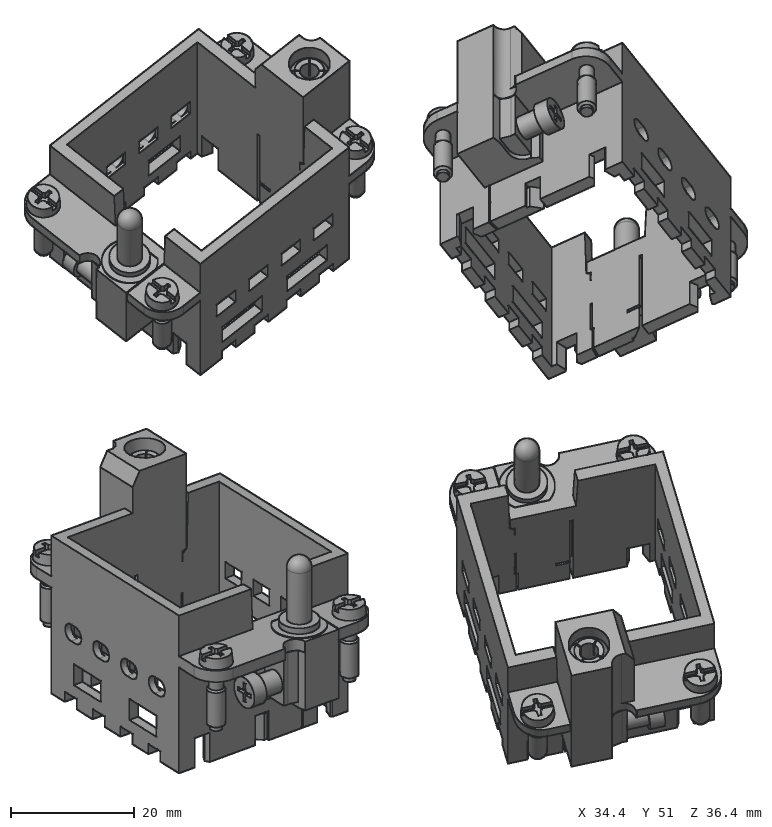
import cadquery as cq
import math

frame_x = 34.4
frame_y = 33.95
frame_height = 29.05
inner_x = 30.8
inner_y = 29.8
end_wall = (frame_y - inner_y) / 2
half_x = frame_x / 2
half_y = frame_y / 2

flange_y = 50.8
flange_bottom = 19.5
flange_top = 21.55
flange_corner = 4.5
edge_notch_radius = 2.0

total_y = 51.0
half_total_y = total_y / 2
block_bottom = 8.85
block_left = -2.2
block_right = 8.75
block_step_x = -0.95
block_root_y = 18.0
recess_depth = 1.9
undercut_height = 1.0
undercut_radius = 2.65
terminal_y = 21.3
terminal_z = 13.45

total_height = 36.4
tower_chamfer_x = 1.45
tower_chamfer_z = 2.55
contact_x = 4.6
contact_y = 20.5

gap_top_width = 0.35
gap_low_width = 0.1
gap_width = 0.15
gap_bottom = 19.0
jog_left = 7.95
jog_right = 8.05
jog_top = 18.6
jog_bottom = 16.85

screw_x = 13.55
screw_y = 22.1


def box(x0, x1, y0, y1, z0, z1):
    return cq.Workplane("XY").box(x1 - x0, y1 - y0, z1 - z0, centered=False).translate((x0, y0, z0))


def prism(points, z0, z1):
    return cq.Workplane("XY").workplane(offset=z0).polyline(points).close().extrude(z1 - z0)


def cylinder(x, y, radius, z0, z1):
    return cq.Workplane("XY").workplane(offset=z0).center(x, y).circle(radius).extrude(z1 - z0)


def revolved(profile):
    """Solid of revolution about Z from (radius, height) points that start and end on the axis."""
    return cq.Workplane("XZ").polyline(profile).close().revolve(360, (0, 0, 0), (0, 1, 0))


def on_both_ends(solid):
    return solid.union(solid.mirror("XZ"))


def make_frame():
    frame = box(-half_x, half_x, -half_y, half_y, 0, frame_height)
    flange = box(-half_x, half_x, -flange_y / 2, flange_y / 2, flange_bottom, flange_top)
    frame = frame.union(flange.edges("|Z").fillet(flange_corner))
    return frame.cut(box(-inner_x / 2, inner_x / 2, -inner_y / 2, inner_y / 2, 0, frame_height))


def make_block():
    """Contact block at the -Y end, from the inner wall face out to the flange edge."""
    root_slope = 0.55
    cheek_x = edge_notch_radius
    cheek_foot_x = 1.7
    bend_x = -0.1
    lip = 0.35
    lip_y = -half_total_y + recess_depth
    outline = [
        (block_left, -inner_y / 2),
        (block_left, -block_root_y),
        (block_step_x, -block_root_y - root_slope),
        (block_step_x, lip_y),
        (bend_x, lip_y),
        (cheek_foot_x, lip_y - lip),
        (cheek_x, -half_total_y),
        (block_right, -half_total_y),
        (block_right, -inner_y / 2),
    ]
    block = prism(outline, block_bottom, flange_bottom)
    undercut_top = block_bottom + undercut_height
    undercut = cylinder(block_step_x, -terminal_y, undercut_radius, block_bottom, undercut_top)
    undercut = undercut.union(
        box(block_step_x, cheek_foot_x, -half_total_y, -terminal_y, block_bottom, undercut_top)
    )
    plate = box(edge_notch_radius, block_right, -half_total_y, -inner_y / 2, flange_bottom, flange_top)
    return block.cut(undercut).union(plate)


def make_terminal_screw():
    """Horizontal earth screw on the left of the -Y block, with a cross recess in its head."""
    head_radius = 2.7
    shaft_radius = 2.0
    shaft_embed = 0.5
    head_left = -7.25
    head_right = -4.75
    cross_length = 3.35
    cross_width = 0.6
    cross_depth = 0.75
    plane = cq.Workplane("YZ", origin=(head_left, -terminal_y, terminal_z))
    head = plane.circle(head_radius).extrude(head_right - head_left)
    shaft = plane.circle(shaft_radius).extrude(block_step_x - head_left + shaft_embed)
    cross = plane.rect(cross_length, cross_width).extrude(cross_depth)
    cross = cross.union(plane.rect(cross_width, cross_length).extrude(cross_depth))
    return head.union(shaft).cut(cross)


def make_tower():
    """Socket tower at the +Y end, with a sloped upper left edge and a stepped-back rear left corner."""
    chamfer_start = total_height - tower_chamfer_z
    profile = [
        (block_left, flange_bottom),
        (block_left, chamfer_start),
        (block_left + tower_chamfer_x, total_height),
        (block_right, total_height),
        (block_right, flange_bottom),
    ]
    tower = cq.Workplane("XZ", origin=(0, half_total_y, 0)).polyline(profile).close()
    tower = tower.extrude(half_total_y - inner_y / 2)
    back_step_y = half_total_y - edge_notch_radius
    return tower.cut(box(block_left, 0, back_step_y, half_total_y, flange_top, total_height))


def socket_pocket():
    """Ring-shaped void around a slit contact sleeve that has a bevelled top and a drilled bore."""
    hole_radius = 3.3
    hole_depth = 10.2
    sleeve_radius = 3.15
    sleeve_depth = 1.75
    shoulder_height = 0.75
    mouth_radius = 2.4
    bore_radius = 1.55
    mouth_depth = 0.2
    bore_depth = 6.1
    bore_tip_angle = math.radians(118)
    slit_width = 0.2
    sleeve_top = -sleeve_depth
    hole = cylinder(0, 0, hole_radius, -hole_depth, 0)
    sleeve = revolved([
        (0, -hole_depth),
        (sleeve_radius, -hole_depth),
        (sleeve_radius, sleeve_top - shoulder_height),
        (mouth_radius, sleeve_top),
        (0, sleeve_top),
    ])
    bore = revolved([
        (0, sleeve_top),
        (mouth_radius, sleeve_top),
        (bore_radius, sleeve_top - mouth_depth),
        (bore_radius, sleeve_top - bore_depth),
        (0, sleeve_top - bore_depth - bore_radius / math.tan(bore_tip_angle / 2)),
    ])
    sleeve = sleeve.cut(bore)
    for angle in (45, 135):
        slit = box(-hole_radius, hole_radius, -slit_width / 2, slit_width / 2, -hole_depth / 2, sleeve_top)
        sleeve = sleeve.cut(slit.rotate((0, 0, 0), (0, 0, 1), angle))
    return hole.cut(sleeve).translate((contact_x, contact_y, total_height))


def make_pin():
    """Guide pin with a domed tip, standing on a collar and a thin seat."""
    pin_radius = 2.05
    pin_top = 34.3
    collar_radius = 3.3
    collar_top = 22.8
    seat_radius = 4.55
    seat_height = 0.15
    pin = cylinder(contact_x, -contact_y, pin_radius, flange_bottom, pin_top - pin_radius)
    dome = cq.Workplane("XY").sphere(pin_radius).translate((contact_x, -contact_y, pin_top - pin_radius))
    collar = cylinder(contact_x, -contact_y, collar_radius, flange_bottom, collar_top)
    seat = cylinder(contact_x, -contact_y, seat_radius, flange_top, flange_top + seat_height)
    seat = seat.intersect(
        box(0, block_right, -half_total_y, -half_y, flange_bottom, total_height)
    )
    return pin.union(dome).union(collar).union(seat)


def make_screw():
    """Flange screw on the Z axis: slotted tapered head, neck, thicker thread and a pilot tip."""
    head_base_radius = 2.75
    head_top_radius = 2.55
    head_height = 1.95
    head_top = flange_top + head_height
    neck_radius = 1.2
    neck_bottom = 16.95
    thread_radius = 1.55
    thread_bottom = 10.3
    bevel = thread_radius - neck_radius
    tip_radius = 1.0
    tip_bottom = 9.35
    slot_width = 0.85
    slot_depth = 0.85
    cross_length = 3.2
    cross_width = 0.6
    cross_depth = 1.3
    cross_core_radius = 0.8
    screw = revolved([
        (0, head_top),
        (head_top_radius, head_top),
        (head_base_radius, flange_top),
        (neck_radius, flange_top),
        (neck_radius, neck_bottom),
        (thread_radius, neck_bottom - bevel),
        (thread_radius, thread_bottom),
        (tip_radius, thread_bottom - bevel),
        (tip_radius, tip_bottom),
        (0, tip_bottom),
    ])
    top = cq.Workplane("XY").workplane(offset=head_top)
    screw = screw.cut(top.rect(2 * head_base_radius, slot_width).extrude(-slot_depth))
    screw = screw.cut(top.rect(cross_width, cross_length).extrude(-cross_depth))
    return screw.cut(top.circle(cross_core_radius).extrude(-cross_depth))


def gap_beside_block():
    """Narrow gap right of the -Y block: tapered in the wall, parallel through the flange.

    At its foot the wall gap jogs towards the block and runs on as a thin slit.
    """
    jog_drop = 0.3
    wall_gap = (
        cq.Workplane("XZ", origin=(0, -inner_y / 2, 0))
        .polyline([
            (jog_left, jog_bottom),
            (jog_left, jog_top),
            (block_right, gap_bottom),
            (block_right, frame_height),
            (block_right + gap_top_width, frame_height),
            (block_right + gap_low_width, gap_bottom),
            (jog_right, jog_top - jog_drop),
            (jog_right, jog_bottom),
        ])
        .close()
        .extrude(end_wall)
    )
    flange_gap = box(
        block_right, block_right + gap_width, -half_total_y, -half_y, gap_bottom, flange_top
    )
    return wall_gap.union(flange_gap)


def opening_above_block():
    """Opening in the -Y wall above the flange, with a slightly sloped left side."""
    slope = 0.3
    profile = [
        (block_left, flange_top),
        (block_left - slope, frame_height),
        (block_right, frame_height),
        (block_right, flange_top),
    ]
    opening = cq.Workplane("XZ", origin=(0, -inner_y / 2, 0)).polyline(profile).close()
    return opening.extrude(end_wall)


def end_wall_notches():
    """Notches at the foot of the -Y wall, and the slit and groove that belong to them."""
    notch_height = 5.4
    ledge_height = 4.85
    outer, inner = -half_y, -inner_y / 2

    far_x, near_x = 14.0, 10.95
    far_throat_x, near_throat_x = 13.75, 11.4
    far_inner_x, near_inner_x = 14.45, 10.65
    far_bevel_depth, near_bevel_depth = 0.25, 0.75
    corner = prism(
        [
            (far_x, outer),
            (far_throat_x, outer + far_bevel_depth),
            (far_inner_x, inner),
            (near_inner_x, inner),
            (near_throat_x, outer + near_bevel_depth),
            (near_x, outer),
        ],
        0,
        notch_height,
    )

    left_x, right_x = -1.7, 1.1
    step_x, step_depth = 0.55, 0.5
    throat_x = -1.15
    middle = prism(
        [
            (left_x, outer),
            (right_x, outer),
            (right_x, outer + step_depth),
            (step_x, outer + step_depth),
            (throat_x, inner),
            (left_x, inner),
        ],
        0,
        ledge_height,
    )
    middle = middle.union(box(left_x, right_x, outer, inner, ledge_height, notch_height))

    groove_top, groove_depth = 17.35, 0.75
    groove = box(left_x, throat_x, inner - groove_depth, inner, notch_height, groove_top)

    slit_left, slit_right, slit_top = 7.75, 8.05, 10.95
    slit_width = slit_right - slit_left
    slit = box(slit_left, slit_right, outer, inner, ledge_height, slit_top)
    slit_foot = [
        (slit_left, outer),
        (slit_right, outer),
        (slit_left, inner),
        (slit_left - slit_width, inner),
    ]
    slit = slit.union(prism(slit_foot, 0, ledge_height))

    return corner.union(corner.mirror("YZ")).union(middle).union(groove).union(slit)


def side_wall_openings():
    """Openings through both long walls: oval row, windows and foot notches."""
    pitch = 7.4
    rows = [factor * pitch for factor in (-1.5, -0.5, 0.5, 1.5)]
    oval_length, oval_height, oval_z = 4.3, 3.0, 13.45
    left_window_length, right_window_length = 7.15, 9.1
    window_bottom, window_top = 4.15, 8.0
    foot_length, foot_height, foot_offset = 3.15, 1.9, 0.65
    left_oval_depth = 1.3

    tool = cq.Workplane("XY")
    for y in rows:
        plane = cq.Workplane("YZ", origin=(-half_x, y, oval_z))
        tool = tool.union(plane.slot2D(oval_length, oval_height).extrude(left_oval_depth))
        tool = tool.union(
            plane.workplane(offset=left_oval_depth).rect(oval_length, oval_height).extrude(frame_x)
        )
        foot_y = y + foot_offset
        tool = tool.union(
            box(-half_x, half_x, foot_y - foot_length / 2, foot_y + foot_length / 2, 0, foot_height)
        )
    for y in (-pitch, pitch):
        for x, length in ((-half_x, left_window_length), (0, right_window_length)):
            tool = tool.union(
                box(x, x + half_x, y - length / 2, y + length / 2, window_bottom, window_top)
            )
    return tool


body = make_frame()
body = body.cut(opening_above_block())
body = body.union(on_both_ends(make_block()))
body = body.union(make_tower())
body = body.cut(on_both_ends(gap_beside_block()))

edge_notch = cylinder(0, -half_total_y, edge_notch_radius, flange_bottom, total_height)
body = body.cut(on_both_ends(edge_notch))
body = body.cut(on_both_ends(end_wall_notches()))
body = body.cut(side_wall_openings())
body = body.cut(socket_pocket())

body = body.union(make_pin())
body = body.union(on_both_ends(make_terminal_screw()))
for x in (-screw_x, screw_x):
    for y in (-screw_y, screw_y):
        body = body.union(make_screw().translate((x, y, 0)))

result = body